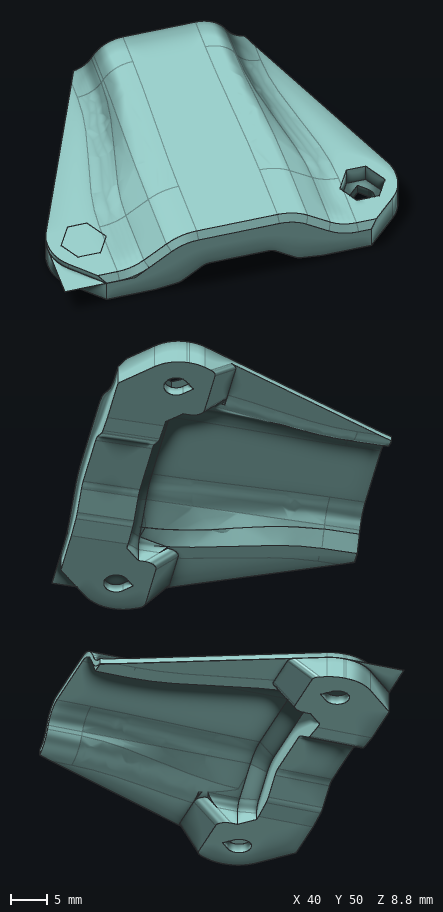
import cadquery as cq
import math

LENGTH = 40.0
WIDTH = 50.0
SKIN = 0.8
FLANGE_TOP = 4.0
FLANGE_BOTTOM = FLANGE_TOP - SKIN
DOME_TOP = 8.8
NARROW_HALF_WIDTH = 12.3
WIDE_X = 30.0
CORNER_CUT = 6.0
CORNER_RADIUS = 6.0

NARROW_DOME = (5.2, 13.15, 4.95, 4.0)
WIDE_DOME = (5.8, 17.15, 7.6, 6.6)
FLARE_START = 5.0
FLARE_END = 30.0
FLARE_STEPS = 4
NOSE_LENGTH = 1.0

PAD_START = 24.0
PAD_ROUND = 0.8
BRIDGE_FACE_X = 32.0
CAVITY_TAPER = 2.05
CAVITY_HALF_WIDTH = 14.9
CAVITY_ROUND = 2.0
MOUTH_ROUND = 1.3
ARCH = [(4.8, 3.05), (8.45, 0.45), (12.0, 0.0)]
ARCH_ROUND = 2.0

HOLE_X = 32.0
HOLE_Y = 20.0
HOLE_RADIUS = 1.7
NUT_APOTHEM = 2.8
NUT_RELIEF = 0.4
POCKET_FLOOR = 1.4

SHEET = 0.05
MARGIN = 5.0


def dome_shape(x):
    """Crest and foot half widths and radii at x, easing from the narrow to the wide dome."""
    t = min(max((x - FLARE_START) / (FLARE_END - FLARE_START), 0.0), 1.0)
    ease = t * t * (3 - 2 * t)
    return [a + (b - a) * ease for a, b in zip(NARROW_DOME, WIDE_DOME)]


def dome_curve(x, inset):
    """Points of the +Y flank at x: crest arc, tangent line, foot arc, moved inward by inset."""
    crest, foot, crest_radius, foot_radius = dome_shape(x)
    crest_radius -= inset
    foot_radius += inset
    top = DOME_TOP - inset
    base = FLANGE_TOP - inset
    radii = crest_radius + foot_radius
    across = foot - crest
    rise = radii - (top - base)
    slope = math.atan2(across, rise) - math.acos(radii / math.hypot(across, rise))

    def on_crest(angle):
        return (crest + crest_radius * math.sin(angle), top - crest_radius * (1 - math.cos(angle)))

    def on_foot(angle):
        return (foot - foot_radius * math.sin(angle), base + foot_radius * (1 - math.cos(angle)))

    crest_arc = [on_crest(0), on_crest(slope / 2), on_crest(slope)]
    foot_arc = [on_foot(slope), on_foot(slope / 2), on_foot(0)]
    return crest_arc, foot_arc, slope


def mirrored(point):
    return (-point[0], point[1])


def dome_section(x, inset):
    """Closed section of everything below the dome and flange surface."""
    crest_arc, foot_arc, _ = dome_curve(x, inset)
    side = WIDTH / 2 + MARGIN
    return (
        cq.Workplane("YZ", origin=(x, 0, 0))
        .moveTo(-side, -MARGIN)
        .lineTo(-side, foot_arc[2][1])
        .lineTo(*mirrored(foot_arc[2]))
        .threePointArc(mirrored(foot_arc[1]), mirrored(foot_arc[0]))
        .lineTo(*mirrored(crest_arc[2]))
        .threePointArc(mirrored(crest_arc[1]), mirrored(crest_arc[0]))
        .lineTo(*crest_arc[0])
        .threePointArc(crest_arc[1], crest_arc[2])
        .lineTo(*foot_arc[0])
        .threePointArc(foot_arc[1], foot_arc[2])
        .lineTo(side, foot_arc[2][1])
        .lineTo(side, -MARGIN)
        .close()
        .val()
    )


def loft(wires, ruled=False):
    return cq.Workplane(cq.Solid.makeLoft(wires, ruled))


def along_flare(section, end):
    """Solid with a straight narrow stretch, an eased flare and a straight wide stretch up to end."""
    step = (FLARE_END - FLARE_START) / FLARE_STEPS
    stations = [FLARE_START + i * step for i in range(FLARE_STEPS + 1)]
    narrow = loft([section(0), section(FLARE_START)], True)
    flare = loft([section(x) for x in stations])
    wide = loft([section(FLARE_END), section(end)], True)
    return narrow.union(flare).union(wide)


def under_outer_skin():
    nose_start = LENGTH - NOSE_LENGTH
    straight = along_flare(lambda x: dome_section(x, 0), nose_start)
    nose = loft([dome_section(nose_start, 0), dome_section(LENGTH, SKIN)], True)
    return straight.union(nose)


def under_inner_skin():
    return along_flare(lambda x: dome_section(x, SKIN), LENGTH)


def plate_prism():
    """Vertical prism of the plate outline with rounded wide corners."""
    half = WIDTH / 2
    side = [
        (0, NARROW_HALF_WIDTH),
        (WIDE_X, half),
        (LENGTH - CORNER_CUT, half),
        (LENGTH, half - CORNER_CUT),
    ]
    other_side = [(x, -y) for x, y in reversed(side)]
    prism = cq.Workplane("XY").polyline(side + other_side).close().extrude(DOME_TOP)
    for x in (WIDE_X, LENGTH - CORNER_CUT):
        for y in (half, -half):
            prism = prism.edges(cq.NearestToPointSelector((x, y, DOME_TOP / 2))).fillet(CORNER_RADIUS)
    return prism


def liner_prism():
    """Prism of the -Y half of the outline with its wide corner left square."""
    half = WIDTH / 2
    outline = [(0, 0), (0, -NARROW_HALF_WIDTH), (WIDE_X, -half), (LENGTH, -half), (LENGTH, 0)]
    prism = cq.Workplane("XY").polyline(outline).close().extrude(DOME_TOP)
    return prism.edges(cq.NearestToPointSelector((WIDE_X, -half, DOME_TOP / 2))).fillet(CORNER_RADIUS)


def space_before_pads():
    """Room under the skin ahead of the pads, ending in their 45 degree front slope."""
    slope_end = PAD_START + FLANGE_BOTTOM
    side = WIDTH / 2
    return (
        cq.Workplane("XZ", origin=(0, side, 0))
        .polyline([
            (0, 0), (slope_end, 0), (PAD_START, FLANGE_BOTTOM), (PAD_START, DOME_TOP), (0, DOME_TOP),
        ])
        .close()
        .extrude(WIDTH)
    )


def cavity_section(x, inset):
    """Section of the cavity under the dome: rounded crest, slanted flank, upright wall."""
    crest_arc, _, slope = dome_curve(LENGTH, SKIN + inset)
    wall = CAVITY_HALF_WIDTH - inset
    start_y, start_z = crest_arc[2]

    def flank_z(y):
        return start_z - (y - start_y) * math.tan(slope)

    corner_z = flank_z(wall)
    bend = CAVITY_ROUND * math.tan((math.pi / 2 - slope) / 2)
    flank_end = (wall - bend * math.cos(slope), corner_z + bend * math.sin(slope))
    wall_top = (wall, corner_z - bend)
    middle = (math.pi / 2 + slope) / 2
    bend_middle = (
        wall - CAVITY_ROUND + CAVITY_ROUND * math.sin(middle),
        wall_top[1] + CAVITY_ROUND * math.cos(middle),
    )
    return (
        cq.Workplane("YZ", origin=(x, 0, 0))
        .moveTo(-wall, -MARGIN)
        .lineTo(*mirrored(wall_top))
        .threePointArc(mirrored(bend_middle), mirrored(flank_end))
        .lineTo(*mirrored(crest_arc[2]))
        .threePointArc(mirrored(crest_arc[1]), mirrored(crest_arc[0]))
        .lineTo(*crest_arc[0])
        .threePointArc(crest_arc[1], crest_arc[2])
        .lineTo(*flank_end)
        .threePointArc(bend_middle, wall_top)
        .lineTo(wall, -MARGIN)
        .close()
        .val()
    )


def bridge_cavity():
    taper_start = BRIDGE_FACE_X - CAVITY_TAPER
    straight = loft([cavity_section(PAD_START - MARGIN, 0), cavity_section(taper_start, 0)], True)
    taper = loft([cavity_section(taper_start, 0), cavity_section(BRIDGE_FACE_X, CAVITY_TAPER)], True)
    return straight.union(taper)


def mouth_rounding(side):
    """Cutter that rounds one pad's edge between its front slope and the upright cavity wall."""
    wall = CAVITY_HALF_WIDTH
    middle = MOUTH_ROUND * (1 - math.sqrt(0.5))
    down_slope = cq.Plane(origin=(PAD_START, 0, FLANGE_BOTTOM), xDir=(0, 1, 0), normal=(1, 0, -1))
    return (
        cq.Workplane(down_slope)
        .moveTo(side * (wall + MOUTH_ROUND), 0)
        .threePointArc((side * (wall + middle), middle), (side * wall, MOUTH_ROUND))
        .lineTo(side * (wall - CAVITY_ROUND), MOUTH_ROUND)
        .lineTo(side * (wall - CAVITY_ROUND), 0)
        .close()
        .extrude(2 * FLANGE_BOTTOM)
    )


def arch_passage():
    """Shallow arch through the underside of the bridge."""
    left = [mirrored(p) for p in reversed(ARCH)]
    passage = cq.Workplane("YZ").polyline(ARCH + left).close().extrude(LENGTH)
    for y, z in ARCH[:2] + left[1:]:
        edge = cq.NearestToPointSelector((LENGTH / 2, y, z))
        passage = passage.edges(edge).fillet(ARCH_ROUND)
    return passage


def nut_prism(y):
    """Hexagonal pocket, its flat toward the narrow end moved out for relief."""
    tan30 = math.tan(math.pi / 6)
    tip = NUT_APOTHEM / math.cos(math.pi / 6)
    back = NUT_APOTHEM + NUT_RELIEF
    back_y = tip - back * tan30
    front_y = NUT_APOTHEM * tan30
    return (
        cq.Workplane("XY", origin=(HOLE_X, y, POCKET_FLOOR))
        .polyline([
            (0, tip), (NUT_APOTHEM, front_y), (NUT_APOTHEM, -front_y),
            (0, -tip), (-back, -back_y), (-back, back_y),
        ])
        .close()
        .extrude(DOME_TOP - POCKET_FLOOR)
    )


def screw_hole(y):
    """Teardrop hole pointing toward the narrow end."""
    tangent = HOLE_RADIUS * math.sqrt(0.5)
    return (
        cq.Workplane("XY", origin=(HOLE_X, y, 0))
        .moveTo(-HOLE_RADIUS * math.sqrt(2), 0)
        .lineTo(-tangent, tangent)
        .threePointArc((HOLE_RADIUS, 0), (-tangent, -tangent))
        .close()
        .extrude(DOME_TOP)
    )


def liner_section(x):
    """Section of the -Y liner: its inner side carries the dome flank straight down to the sheet."""
    _, foot_arc, slope = dome_curve(x, SKIN)
    flank_y, flank_z = foot_arc[0]
    bottom = FLANGE_BOTTOM - SHEET
    side = WIDTH / 2 + MARGIN
    return (
        cq.Workplane("YZ", origin=(x, 0, 0))
        .moveTo(-flank_y, flank_z)
        .lineTo(-flank_y - (flank_z - bottom) / math.tan(slope), bottom)
        .lineTo(-side, bottom)
        .lineTo(-side, flank_z)
        .close()
        .val()
    )


def round_pad_slopes(cover):
    """Round the slanted edge where each pad's front slope meets the side of the plate."""
    x = PAD_START + FLANGE_BOTTOM / 2
    y = NARROW_HALF_WIDTH + (WIDTH / 2 - NARROW_HALF_WIDTH) * x / WIDE_X
    for side_y in (y, -y):
        edge = cq.NearestToPointSelector((x, side_y, FLANGE_BOTTOM / 2))
        cover = cover.edges(edge).fillet(PAD_ROUND)
    return cover


def make_liner(outer, inner):
    sheet = along_flare(liner_section, LENGTH).intersect(inner).intersect(liner_prism())
    plug = nut_prism(-HOLE_Y).intersect(outer)
    return sheet.union(plug)


def make_cover(outer, inner, liner):
    hollow = space_before_pads().union(bridge_cavity())
    for side in (1, -1):
        hollow = hollow.union(mouth_rounding(side))
    hollow = hollow.intersect(inner)
    cover = plate_prism().intersect(outer).cut(hollow).cut(arch_passage())
    cover = round_pad_slopes(cover)
    for y in (HOLE_Y, -HOLE_Y):
        cover = cover.cut(nut_prism(y)).cut(screw_hole(y))
    return cover.cut(liner)


outer_volume = under_outer_skin()
inner_volume = under_inner_skin()
liner = make_liner(outer_volume, inner_volume)
cover = make_cover(outer_volume, inner_volume, liner)
result = cq.Compound.makeCompound([*cover.vals(), *liner.vals()])